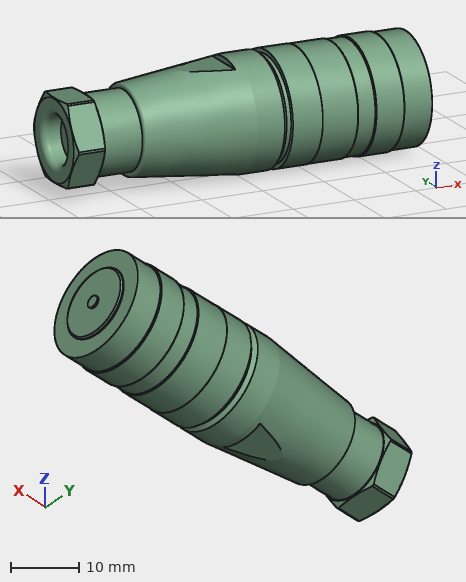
import cadquery as cq
import math


nut_end = 5.0
collar_start = 11.3
shoulder = 27.75
taper_end = 28.85
groove_start = 33.25
groove_end = 34.6
sleeve_joint = 39.5
sleeve_end = 45.4
ring_start = 48.15
ring_end = 52.95
body_end = 57.5
insert_end = 57.95
overall_length = 58.25

body_dia = 18.0
sleeve_dia = 17.9
relief_dia = 17.6
groove_dia = 16.7
collar_dia = 14.15
neck_dia = 12.5
insert_dia = 11.7
pin_dia = 2.0

collar_round = 0.45
relief_chamfer = 0.15
insert_chamfer = 0.25

nut_across_flats = 13.0
nut_corner_dia = 14.8
nut_face_dia = 12.8
nut_chamfer_length = 0.35

bore_dia = 7.6
bore_depth = 3.0
bore_mouth_round = 1.0

flat_spacing = 16.0


def cylinder(start, end, diameter):
    """Solid cylinder on the X axis between two stations."""
    return cq.Workplane("YZ", origin=(start, 0, 0)).circle(diameter / 2).extrude(end - start)


def make_nut():
    """Hexagon with corners on Y, turned down at its corners and chamfered at both ends."""
    hex_dia = nut_across_flats / math.cos(math.pi / 6)
    hexagon = cq.Workplane("YZ").polygon(6, hex_dia).extrude(nut_end)
    corner_radius = nut_corner_dia / 2
    face_radius = nut_face_dia / 2
    envelope = (
        cq.Workplane("XY")
        .moveTo(0, 0)
        .lineTo(0, face_radius)
        .lineTo(nut_chamfer_length, corner_radius)
        .lineTo(nut_end - nut_chamfer_length, corner_radius)
        .lineTo(nut_end, face_radius)
        .lineTo(nut_end, 0)
        .close()
        .revolve(360, (0, 0, 0), (1, 0, 0))
    )
    return hexagon.intersect(envelope)


def make_shell():
    """Tapered rear shell with a rounded collar edge, ending in the bevel of the groove."""
    body_radius = body_dia / 2
    collar_radius = collar_dia / 2
    groove_radius = groove_dia / 2
    bevel = body_radius - groove_radius
    round_sag = collar_round * (1 - math.sqrt(0.5))
    return (
        cq.Workplane("XY")
        .moveTo(collar_start, 0)
        .lineTo(collar_start, collar_radius - collar_round)
        .threePointArc(
            (collar_start + round_sag, collar_radius - round_sag),
            (collar_start + collar_round, collar_radius),
        )
        .lineTo(taper_end, body_radius)
        .lineTo(groove_start, body_radius)
        .lineTo(groove_start + bevel, groove_radius)
        .lineTo(groove_end, groove_radius)
        .lineTo(groove_end, 0)
        .close()
        .revolve(360, (0, 0, 0), (1, 0, 0))
    )


def cut_wrench_flats(shell):
    """Remove everything beyond the two flats, up to the shoulder."""
    length = shoulder - collar_start
    for side in (1, -1):
        cutter = (
            cq.Workplane("XY", origin=(collar_start, 0, side * flat_spacing / 2))
            .rect(2 * length, 2 * body_dia)
            .extrude(side * body_dia)
        )
        shell = shell.cut(cutter)
    return shell


def make_coupling():
    """Stepped coupling sleeve: grip, sleeve, relief, locking ring and front rim."""
    grip = cylinder(groove_end, sleeve_joint, body_dia)
    sleeve = cylinder(sleeve_joint, sleeve_end, sleeve_dia).faces(">X").chamfer(relief_chamfer)
    ring = cylinder(ring_start, ring_end, body_dia).faces("<X or >X").chamfer(relief_chamfer)
    relief = cylinder(sleeve_end, ring_start, relief_dia)
    rim = cylinder(ring_end, body_end, relief_dia)
    return grip.union(sleeve).union(relief).union(ring).union(rim)


def make_contact_end():
    """Insert face standing proud of the rim, with a central pin."""
    insert = cylinder(body_end, insert_end, insert_dia).faces(">X").chamfer(insert_chamfer)
    pin = cylinder(insert_end, overall_length, pin_dia)
    return insert.union(pin)


def make_bore():
    """Blind cable bore with a rounded mouth."""
    radius = bore_dia / 2
    mouth_radius = radius + bore_mouth_round
    round_sag = bore_mouth_round * (1 - math.sqrt(0.5))
    return (
        cq.Workplane("XY")
        .moveTo(0, 0)
        .lineTo(0, mouth_radius)
        .threePointArc((round_sag, radius + round_sag), (bore_mouth_round, radius))
        .lineTo(bore_depth, radius)
        .lineTo(bore_depth, 0)
        .close()
        .revolve(360, (0, 0, 0), (1, 0, 0))
    )


neck = cylinder(nut_end, collar_start, neck_dia)
shell = cut_wrench_flats(make_shell())
result = make_nut().union(neck).union(shell).union(make_coupling()).union(make_contact_end())
result = result.cut(make_bore())